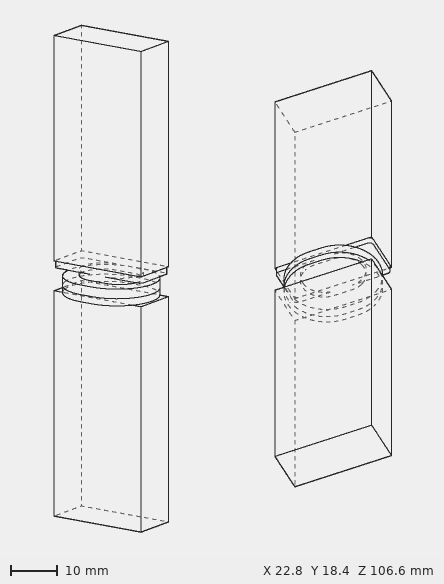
import cadquery as cq

BLOCK_WIDTH = 22.8
BLOCK_DEPTH = 10.2
BLOCK_HEIGHT = 50.0
TOTAL_HEIGHT = 106.6

FLANGE_DEPTH = 18.4
FLANGE_FLAT = 3.0
LOWER_FLANGE_HEIGHT = 1.6
UPPER_FLANGE_HEIGHT = 2.1
NECK_FLAT = 4.3
NECK_HEIGHT = 1.4
PLATE_CORNER_RADIUS = 1.0

UPPER_FLANGE_BASE = BLOCK_HEIGHT + LOWER_FLANGE_HEIGHT
NECK_BASE = UPPER_FLANGE_BASE + UPPER_FLANGE_HEIGHT
PLATE_BASE = NECK_BASE + NECK_HEIGHT
UPPER_BLOCK_BASE = TOTAL_HEIGHT - BLOCK_HEIGHT
PLATE_HEIGHT = UPPER_BLOCK_BASE - PLATE_BASE


def box(base, height):
    """Rectangular prism with the block section, standing on height base."""
    section = cq.Workplane("XY", origin=(0, 0, base)).rect(BLOCK_WIDTH, BLOCK_DEPTH)
    return section.extrude(height)


def oblong(base, height, flat, depth):
    """Prism with two straight sides of length flat, joined by half circles."""
    section = cq.Workplane("XY", origin=(0, 0, base)).slot2D(flat + depth, depth)
    return section.extrude(height)


def make_lower_body():
    """Lower block carrying the lower flange."""
    flange = oblong(BLOCK_HEIGHT, LOWER_FLANGE_HEIGHT, FLANGE_FLAT, FLANGE_DEPTH)
    return box(0, BLOCK_HEIGHT).union(flange)


def make_connector():
    """Upper flange, neck and round-cornered plate."""
    flange = oblong(UPPER_FLANGE_BASE, UPPER_FLANGE_HEIGHT, FLANGE_FLAT, FLANGE_DEPTH)
    neck = oblong(NECK_BASE, NECK_HEIGHT, NECK_FLAT, BLOCK_DEPTH)
    plate = box(PLATE_BASE, PLATE_HEIGHT).edges("|Z").fillet(PLATE_CORNER_RADIUS)
    return flange.union(neck).union(plate)


def make_upper_block():
    """Plain block on top of the plate."""
    return box(UPPER_BLOCK_BASE, BLOCK_HEIGHT)


lower_body = make_lower_body()
connector = make_connector()
upper_block = make_upper_block()

result = cq.Compound.makeCompound([lower_body.val(), connector.val(), upper_block.val()])